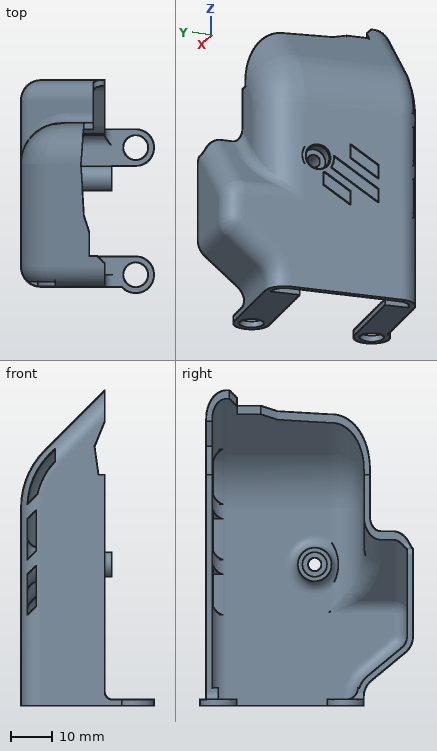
import cadquery as cq
import math

wall = 1.48
depth = 20.5
overrun = 5.0
tower_width = 40.0
bump_width = 50.5
foot_width = 38.5

lean = math.radians(45)
total_height = 77.0
tower_bend = 20.0
tower_spring = total_height - depth + tower_bend * (1 - math.sin(lean) - math.cos(lean))
bump_spring = 22.8
bump_bend = 5.45

edge_radius = 5.0
tower_side_radius = 10.0
blend_radius = 2.5

foot_bend = 5.0
foot_bend_z = 2.3
hip_bend = edge_radius + 0.02
hip_bend_z = 16.95

roof_cut_outline = [(16.7, 13.4), (15.4, 17.4), (14.65, 30.0), (15.4, 40.0)]
roof_tab_y = 7.6
roof_tab_chamfer = 1.9
side_cut_z = 56.4
side_cut_outline = [(18.95, side_cut_z), (18.0, 63.3), (depth, 69.4)]
bump_cut_x = 17.6
bump_cut_z = 38.4
bump_cut_bend = 1.4

slot_outer = 1.6
slot_inner = 3.7
slot_height = 9.9
slot_pitch = 13.5
slot_first_z = 22.2
slot_end_x = 8.4

groove_depth = 0.3
groove_height = 3.5
groove_slope = 0.628
groove_y_right = 10.9
groove_y_middle = 18.15
groove_y_left = 25.1
grooves = [
    (groove_y_right, groove_y_middle, 30.7),
    (groove_y_right, groove_y_left, 24.5),
    (groove_y_middle, groove_y_left, 23.1),
]

boss_y = 26.5
boss_z = 34.5
boss_diameter = 8.2
boss_length = 5.0
boss_flare = 3.0
tube_diameter = 6.0
tube_end = 22.2
bore_diameter = 3.2
head_diameter = 6.0
head_depth = 3.3
head_chamfer = 0.2

ear_thickness = 1.6
ear_radius = 4.5
ear_hole_diameter = 6.0
ear_x = 28.0
low_ear_y = 3.0
ear_pitch = 31.0
ear_fillet = 1.8
gusset_width = 3.0
corner_fillet = 2.8


def on_circle(center, radius, angle):
    return (center[0] + radius * math.cos(angle), center[1] + radius * math.sin(angle))


def leaning_profile(spring, bend, inset, back):
    """XZ outline: upright front, bend, 45 degree roof; closed at X = back."""
    center = (bend, spring)
    radius = bend - inset
    bend_middle = on_circle(center, radius, math.pi - lean / 2)
    bend_end = on_circle(center, radius, math.pi - lean)
    roof_end = (back, bend_end[1] + (back - bend_end[0]) / math.tan(lean))
    return (
        cq.Workplane("XZ")
        .moveTo(inset, 0)
        .lineTo(inset, spring)
        .threePointArc(bend_middle, bend_end)
        .lineTo(*roof_end)
        .lineTo(back, 0)
        .close()
    )


def tower(inset, back):
    near_y = inset
    far_y = tower_width - inset
    body = leaning_profile(tower_spring, tower_bend, inset, back).extrude(near_y - far_y)
    body = body.translate((0, near_y, 0))
    body = body.edges("|Z").edges("<X").edges("<Y").fillet(edge_radius - inset)
    body = body.edges("|Z and >Y").edges("<X").fillet(tower_side_radius - inset)
    below_bump = cq.Workplane("XY").box(2 * back, tower_width, hip_bend_z + 1, centered=(True, False, False))
    return body.cut(below_bump.translate((0, tower_width / 2, 0)))


def bump(inset, back):
    foot_center = (foot_width + foot_bend, foot_bend_z)
    hip_center = (bump_width - hip_bend, hip_bend_z)
    run = hip_center[0] - foot_center[0]
    rise = hip_center[1] - foot_center[1]
    slope = math.acos(-(foot_bend + hip_bend) / math.hypot(run, rise)) - math.atan2(rise, run)
    foot_radius = foot_bend + inset
    hip_radius = hip_bend - inset
    top = bump_spring + bump_bend + back
    inner_y = tower_width / 2 - 5
    block = (
        cq.Workplane("YZ")
        .moveTo(inner_y, 0)
        .lineTo(foot_width - inset, 0)
        .lineTo(foot_width - inset, foot_bend_z)
        .threePointArc(
            on_circle(foot_center, foot_radius, math.pi - slope / 2),
            on_circle(foot_center, foot_radius, math.pi - slope),
        )
        .lineTo(*on_circle(hip_center, hip_radius, -slope))
        .threePointArc(
            on_circle(hip_center, hip_radius, -slope / 2),
            on_circle(hip_center, hip_radius, 0),
        )
        .lineTo(bump_width - inset, top)
        .lineTo(inner_y, top)
        .close()
        .extrude(back)
    )
    body = block.intersect(leaning_profile(bump_spring, bump_bend, inset, back).extrude(-bump_width))
    return body.edges("|Z").edges("<X").edges(">Y").fillet(edge_radius - inset)


def envelope(inset, back):
    """Tower and bump in one, with every outer surface moved inwards by inset."""
    body = tower(inset, back).union(bump(inset, back))
    seam = cq.selectors.BoxSelector((back / 2, tower_width - inset - 0.1, bump_spring),
                                    (back, tower_width - inset + 0.1, tower_spring))
    return body.edges("not(|Y or |Z)").edges(seam).fillet(blend_radius + inset)


def rear_cutouts():
    top = tower_spring + tower_bend + depth
    far = depth + overrun
    roof = (
        cq.Workplane("XY").workplane(offset=side_cut_z)
        .moveTo(far, roof_tab_y - roof_tab_chamfer)
        .lineTo(depth, roof_tab_y - roof_tab_chamfer)
        .lineTo(depth - roof_tab_chamfer, roof_tab_y)
        .lineTo(roof_cut_outline[0][0], roof_tab_y)
    )
    for point in roof_cut_outline:
        roof = roof.lineTo(*point)
    roof = roof.lineTo(far, tower_width).close().extrude(top)
    side = (
        cq.Workplane("XZ")
        .polyline([(far, side_cut_z)] + side_cut_outline + [(far, side_cut_outline[-1][1])])
        .close()
        .extrude(-edge_radius)
    )
    r = bump_cut_bend
    ledge_x = bump_cut_x + r
    end_radius = depth - ledge_x
    hollow = on_circle((ledge_x, bump_cut_z + r), r, math.radians(225))
    nose = on_circle((ledge_x, bump_cut_z - end_radius), end_radius, math.radians(45))
    bump_side = (
        cq.Workplane("XZ")
        .moveTo(bump_cut_x, side_cut_z)
        .lineTo(bump_cut_x, bump_cut_z + r)
        .threePointArc(hollow, (ledge_x, bump_cut_z))
        .threePointArc(nose, (depth, bump_cut_z - end_radius))
        .lineTo(far, bump_cut_z - end_radius)
        .lineTo(far, side_cut_z)
        .close()
        .extrude(-bump_width)
        .translate((0, tower_width - 3 * wall, 0))
    )
    return roof.union(side).union(bump_side)


def vent_slots():
    band = leaning_profile(tower_spring, tower_bend, slot_outer, depth).extrude(-edge_radius)
    band = band.cut(leaning_profile(tower_spring, tower_bend, slot_inner, depth).extrude(-edge_radius))
    slots = cq.Workplane("XY")
    for i in range(3):
        low = slot_first_z + i * slot_pitch - slot_outer
        height = slot_height if i < 2 else tower_bend
        window = (
            cq.Workplane("XZ")
            .polyline([(0, low), (slot_end_x, low + slot_end_x),
                       (slot_end_x, low + slot_end_x + height), (0, low + height)])
            .close()
            .extrude(-edge_radius)
        )
        slots = slots.add(band.intersect(window))
    return slots


def front_grooves():
    cuts = cq.Workplane("XY")
    for right_y, left_y, low in grooves:
        climb = groove_slope * (left_y - right_y)
        cuts = cuts.add(
            cq.Workplane("YZ")
            .polyline([(right_y, low), (left_y, low + climb),
                       (left_y, low + climb + groove_height), (right_y, low + groove_height)])
            .close()
            .extrude(groove_depth)
        )
    return cuts


def rod(diameter, start, end):
    return (
        cq.Workplane("YZ", origin=(start, boss_y, boss_z)).circle(diameter / 2).extrude(end - start)
    )


def boss():
    """Stepped post behind the front wall, flared where it meets the wall."""
    r = boss_diameter / 2
    flare_middle = on_circle((wall + boss_flare, r + boss_flare), boss_flare, math.radians(225))
    profile = (
        cq.Workplane("XY")
        .moveTo(0, 0)
        .lineTo(0, r)
        .lineTo(wall / 2, r)
        .lineTo(wall / 2, r + boss_flare)
        .lineTo(wall, r + boss_flare)
        .threePointArc(flare_middle, (wall + boss_flare, r))
        .lineTo(boss_length, r)
        .lineTo(boss_length, tube_diameter / 2)
        .lineTo(tube_end, tube_diameter / 2)
        .lineTo(tube_end, 0)
        .close()
        .revolve(360, (0, 0, 0), (1, 0, 0))
    )
    return profile.translate((0, boss_y, boss_z))


def boss_hole():
    head = rod(head_diameter, 0, head_depth)
    rim = rod(head_diameter + 2 * head_chamfer, 0, 2 * head_chamfer).faces(">X").chamfer(head_chamfer)
    return rod(bore_diameter, 0, tube_end).union(head).union(rim)


def ear(y, edge_low, edge_high):
    plate = (
        cq.Workplane("XY")
        .moveTo(edge_radius, edge_low)
        .lineTo(ear_x, edge_low)
        .lineTo(ear_x, edge_high)
        .lineTo(edge_radius, edge_high)
        .close()
        .extrude(ear_thickness)
    )
    eye = cq.Workplane("XY", origin=(ear_x, y, 0)).circle(ear_radius).extrude(ear_thickness)
    hole = cq.Workplane("XY", origin=(ear_x, y, 0)).circle(ear_hole_diameter / 2).extrude(ear_thickness)
    return plate.union(eye).cut(hole)


def gusset(start_x, low_y, high_y):
    """Block inside the wall, with a hollow fillet from the rear edge down to the ear."""
    r = ear_fillet
    block_top = ear_thickness + corner_fillet
    fillet_middle = on_circle((depth + r, ear_thickness + r), r, math.radians(225))
    return (
        cq.Workplane("XZ")
        .moveTo(start_x, 0)
        .lineTo(start_x, block_top)
        .lineTo(depth, block_top)
        .lineTo(depth, ear_thickness + r)
        .threePointArc(fillet_middle, (depth + r, ear_thickness))
        .lineTo(depth + r, 0)
        .close()
        .extrude(low_y - high_y)
        .translate((0, low_y, 0))
    )


def corner():
    """Hollow fillet along the inside of the +Y wall, on top of its ear."""
    r = corner_fillet
    inside_y = foot_width - wall
    fillet_middle = on_circle((inside_y - r, ear_thickness + r), r, math.radians(-45))
    return (
        cq.Workplane("YZ")
        .moveTo(inside_y - r, 0)
        .lineTo(inside_y - r, ear_thickness)
        .threePointArc(fillet_middle, (inside_y, ear_thickness + r))
        .lineTo(foot_width, ear_thickness + r)
        .lineTo(foot_width, 0)
        .close()
        .extrude(ear_x)
    )


high_ear_y = low_ear_y + ear_pitch

housing = envelope(0, depth).cut(envelope(wall, depth + overrun)).cut(rear_cutouts())
for opening in vent_slots().vals() + front_grooves().vals():
    housing = housing.cut(cq.Workplane(opening))
housing = housing.union(boss()).cut(boss_hole())
housing = housing.union(ear(low_ear_y, 0, low_ear_y + ear_radius))
housing = housing.union(ear(high_ear_y, high_ear_y - ear_radius, high_ear_y + ear_radius))
housing = housing.union(gusset(depth - wall, 0, gusset_width))
housing = housing.union(gusset(edge_radius, high_ear_y - ear_radius, foot_width).intersect(corner()))

result = cq.Compound.makeCompound([housing.val()])